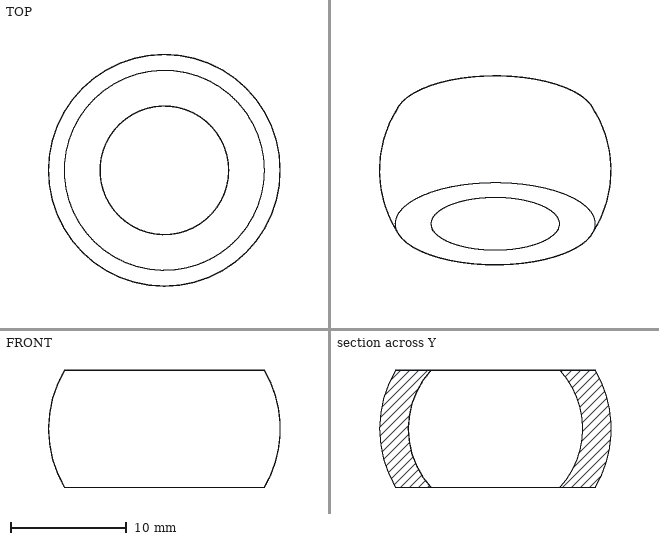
import cadquery as cq

outer_diameter = 20.0
wall_thickness = 2.5
height = 10.12

outer_radius = outer_diameter / 2
inner_radius = outer_radius - wall_thickness


def ball_slice(radius):
    """Ball of the given radius, centred on the origin and trimmed to the ring height."""
    slab = cq.Workplane("XY").box(outer_diameter, outer_diameter, height)
    return cq.Workplane("XY").sphere(radius).intersect(slab)


result = ball_slice(outer_radius).cut(ball_slice(inner_radius))